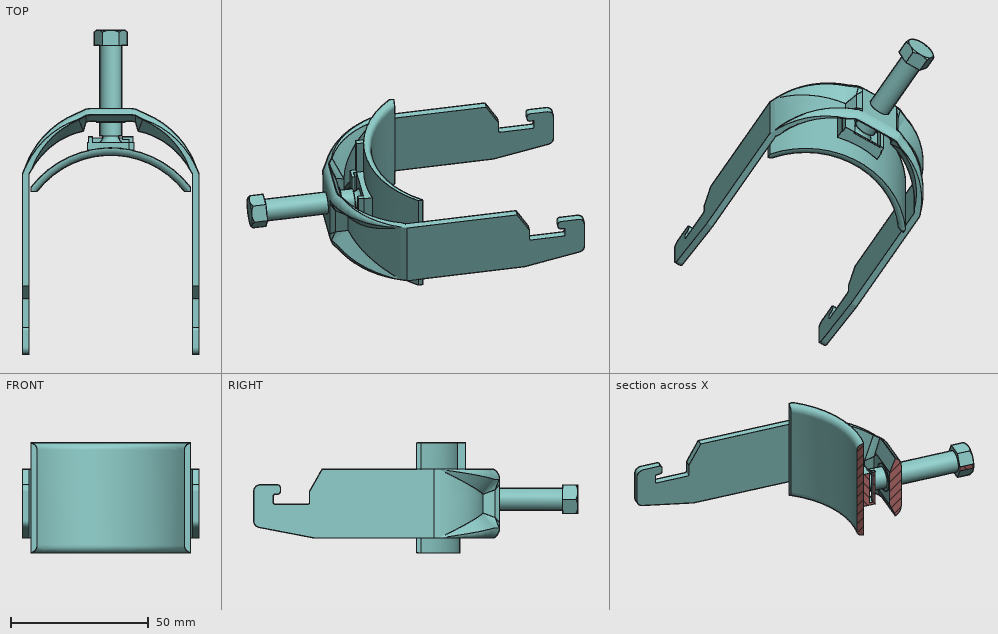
import cadquery as cq
import math


STRAP_THICKNESS = 2.5
STRAP_HALF_WIDTH = 64.0 / 2
STRAP_HEIGHT = 25.0
STRAP_MID_Z = -1.59
HALF_HEIGHT = STRAP_HEIGHT / 2
STRAP_TOP_Z = STRAP_MID_Z + HALF_HEIGHT
STRAP_BOTTOM_Z = STRAP_MID_Z - HALF_HEIGHT
ARCH_RADIUS = 32.9
CROWN_HALF_WIDTH = 7.3
ARCH_CENTER_Y = -32.3
WING_START_ANGLE = 22.4
WING_END_ANGLE = 71.0
WING_SECTIONS = 6
LEG_TOP_Y = -23.7
LEG_END_Y = -89.2
TROUGH_DEPTH = 4.5
TROUGH_FLOOR_HALF = 3.4
FLAT_FLOOR_HALF = 12.2
CROWN_SWELL = 2.2
CROWN_FLOOR_HALF = 7.0
SHOULDER_X = 8.9
SHOULDER_DROP = 0.2
SHOULDER_DEPTH = 1.4
SHOULDER_FLOOR_HALF = 5.0
RIM_DEPTH = 2.2
RIM_HEIGHT = 3.8
FADED_RIM = 0.1
CROWN_BOSS_DIAMETER = 10.5
CROWN_BOSS_HEIGHT = 0.4

TOP_BEVEL_START_Y = -64.4
NOTCH_START_Y = -69.0
NOTCH_END_Y = -82.0
LIP_END_Y = -79.4
BOTTOM_BEVEL_START_Y = -67.1
BEVEL_END_Z = 2.8
NOTCH_FLOOR_Z = -1.8
LIP_BOTTOM_Z = 1.8
LIP_TOP_Z = 5.3
LEG_END_BOTTOM_Z = -9.9
NOTCH_FILLET = 0.6
LIP_FILLET = 1.2
LEG_END_FILLET = 2.5

SHANK_DIAMETER = 8.0
HEAD_TOP_Y = 28.3
HEAD_HEIGHT = 5.5
HEAD_BOTTOM_Y = HEAD_TOP_Y - HEAD_HEIGHT
HEAD_CORNER_DIAMETER = 12.0
HEAD_CHAMFER_DIAMETER = 10.5
HEAD_CHAMFER_HEIGHT = 0.7
SHANK_END_Y = -10.0
NECK_DIAMETER = 5.8
TIP_DIAMETER = 8.0
TIP_END_Y = -12.3

SHOE_THICKNESS = 2.7
SHOE_HEIGHT = 40.1
SHOE_MID_Z = 0.53
SHOE_HALF_WIDTH = 28.9
SHOE_RADIUS = 36.4
SHOE_APEX_Y = -14.3
SHOE_TIP_Y = -30.2
SHOE_EDGE_FILLET = 2.6
SHOE_TOP_Z = SHOE_MID_Z + SHOE_HEIGHT / 2
SHOE_BOTTOM_Z = SHOE_MID_Z - SHOE_HEIGHT / 2
SHOE_CENTER_Y = SHOE_APEX_Y - SHOE_RADIUS

RETAINER_HALF_WIDTH = 8.5
RETAINER_BOTTOM_Z = -7.0
CHEEK_OUTER_X = 8.1
CHEEK_INNER_X = 6.7
CHEEK_TOP_Y = -10.2
RETAINER_TOP_Z = 7.0
STOP_TOP_Y = -10.7
STOP_THICKNESS = 1.2
LIP_INNER_X = 4.2
LIP_UNDERSIDE_Y = -11.3


def blend(start, end, fraction):
    return start + fraction * (end - start)


def arch_y(angle):
    """Y of the outer arch at an angle from the bolt axis."""
    return ARCH_CENTER_Y + ARCH_RADIUS * math.cos(math.radians(angle))


WING_START_Y = arch_y(WING_START_ANGLE)
WING_END_Y = arch_y(WING_END_ANGLE)


def box_between(x_range, y_range, z_range):
    """Axis-aligned box given by its limits."""
    sizes = [high - low for low, high in (x_range, y_range, z_range)]
    corner = (x_range[0], y_range[0], z_range[0])
    return cq.Workplane("XY").box(*sizes, centered=False).translate(corner)


def strap_section(outer_x, outer_y, angle, floor_half, outer_depth, inner_depth, rim_depth, rim_height):
    """Closed cross-section of the strap, standing on the normal at one outer point."""
    normal_x = math.sin(math.radians(angle))
    normal_y = math.cos(math.radians(angle))

    def at(depth, height):
        return cq.Vector(outer_x - depth * normal_x, outer_y - depth * normal_y, STRAP_MID_Z + height)

    rim_radius = (rim_height**2 + rim_depth**2) / (2 * rim_depth)
    bow_depth = rim_radius - math.sqrt(rim_radius**2 - (rim_height / 2)**2)
    bow = HALF_HEIGHT - rim_height / 2
    crest = HALF_HEIGHT - rim_height
    lower_rim = cq.Edge.makeThreePointArc(at(rim_depth, -HALF_HEIGHT), at(bow_depth, -bow), at(0, -crest))
    upper_rim = cq.Edge.makeThreePointArc(at(0, crest), at(bow_depth, bow), at(rim_depth, HALF_HEIGHT))
    outer_path = [at(0, -crest), at(outer_depth, -floor_half), at(outer_depth, floor_half), at(0, crest)]
    inner_path = [
        at(rim_depth, HALF_HEIGHT),
        at(STRAP_THICKNESS, HALF_HEIGHT),
        at(STRAP_THICKNESS + inner_depth, floor_half),
        at(STRAP_THICKNESS + inner_depth, -floor_half),
        at(STRAP_THICKNESS, -HALF_HEIGHT),
        at(rim_depth, -HALF_HEIGHT),
    ]
    outer_edges = [cq.Edge.makeLine(a, b) for a, b in zip(outer_path, outer_path[1:])]
    inner_edges = [cq.Edge.makeLine(a, b) for a, b in zip(inner_path, inner_path[1:])]
    return cq.Wire.assembleEdges([lower_rim, *outer_edges, upper_rim, *inner_edges])


def wing_section(fade):
    """Section of the wing; fade runs from 0 at the deep end to 1 at the leg."""
    angle = blend(WING_START_ANGLE, WING_END_ANGLE, fade)
    outer_x = ARCH_RADIUS * math.sin(math.radians(angle))
    outer_y = arch_y(angle)
    floor_fade = (outer_y - WING_START_Y) / (WING_END_Y - WING_START_Y)
    floor_half = blend(TROUGH_FLOOR_HALF, FLAT_FLOOR_HALF, floor_fade)
    depth = blend(TROUGH_DEPTH, 0, fade)
    rim_depth = blend(RIM_DEPTH, FADED_RIM, fade)
    rim_height = blend(RIM_HEIGHT, FADED_RIM, fade)
    return strap_section(outer_x, outer_y, angle, floor_half, depth, depth, rim_depth, rim_height)


def crown_section(x):
    return strap_section(x, 0, 0, CROWN_FLOOR_HALF, 0, CROWN_SWELL, RIM_DEPTH, RIM_HEIGHT)


def make_leg():
    """Straight leg with its hooked end, on the +X side."""
    outline = (
        cq.Workplane("YZ", origin=(STRAP_HALF_WIDTH - STRAP_THICKNESS, 0, 0))
        .moveTo(LEG_TOP_Y, STRAP_TOP_Z)
        .lineTo(TOP_BEVEL_START_Y, STRAP_TOP_Z)
        .lineTo(NOTCH_START_Y, BEVEL_END_Z)
        .lineTo(NOTCH_START_Y, NOTCH_FLOOR_Z)
        .lineTo(NOTCH_END_Y, NOTCH_FLOOR_Z)
        .lineTo(NOTCH_END_Y, LIP_BOTTOM_Z)
        .lineTo(LIP_END_Y, LIP_BOTTOM_Z)
        .lineTo(LIP_END_Y, LIP_TOP_Z)
        .lineTo(LEG_END_Y, LIP_TOP_Z)
        .lineTo(LEG_END_Y, LEG_END_BOTTOM_Z)
        .lineTo(BOTTOM_BEVEL_START_Y, STRAP_BOTTOM_Z)
        .lineTo(LEG_TOP_Y, STRAP_BOTTOM_Z)
        .close()
    )
    leg = outline.extrude(STRAP_THICKNESS)

    def round_corners(body, corners, radius):
        for y, z in corners:
            near = cq.selectors.NearestToPointSelector((STRAP_HALF_WIDTH - STRAP_THICKNESS / 2, y, z))
            body = body.edges("|X").edges(near).fillet(radius)
        return body

    leg = round_corners(leg, [(NOTCH_START_Y, NOTCH_FLOOR_Z), (NOTCH_END_Y, NOTCH_FLOOR_Z),
                              (NOTCH_END_Y, LIP_BOTTOM_Z)], NOTCH_FILLET)
    leg = round_corners(leg, [(LIP_END_Y, LIP_BOTTOM_Z), (LIP_END_Y, LIP_TOP_Z)], LIP_FILLET)
    return round_corners(leg, [(LEG_END_Y, LIP_TOP_Z), (LEG_END_Y, LEG_END_BOTTOM_Z)], LEG_END_FILLET)


def make_strap_side():
    """Everything of the strap on the +X side of the crown."""
    wing = cq.Solid.makeLoft([wing_section(i / (WING_SECTIONS - 1)) for i in range(WING_SECTIONS)])
    shoulder = strap_section(SHOULDER_X, -SHOULDER_DROP, 0, SHOULDER_FLOOR_HALF,
                             SHOULDER_DEPTH, CROWN_SWELL, RIM_DEPTH, RIM_HEIGHT)
    step = cq.Solid.makeLoft([crown_section(CROWN_HALF_WIDTH), shoulder, wing_section(0)], True)
    leg_joint = strap_section(
        STRAP_HALF_WIDTH, LEG_TOP_Y, 90, FLAT_FLOOR_HALF, 0, 0, FADED_RIM, FADED_RIM)
    bend = cq.Solid.makeLoft([wing_section(1), leg_joint], True)
    return make_leg().union(cq.Workplane(bend)).union(cq.Workplane(wing)).union(cq.Workplane(step))


def make_strap():
    crown = cq.Workplane(
        cq.Solid.makeLoft([crown_section(-CROWN_HALF_WIDTH), crown_section(CROWN_HALF_WIDTH)], True))
    boss = (
        cq.Workplane("XZ")
        .circle(CROWN_BOSS_DIAMETER / 2)
        .extrude(STRAP_THICKNESS + CROWN_SWELL + CROWN_BOSS_HEIGHT)
    )
    side = make_strap_side()
    bolt_hole = cq.Workplane("XZ").circle(SHANK_DIAMETER / 2).extrude(-SHANK_END_Y)
    return crown.union(boss).union(side).union(side.mirror("YZ")).cut(bolt_hole)


def make_bolt():
    head = (
        cq.Workplane("XZ", origin=(0, HEAD_TOP_Y, 0))
        .polygon(6, HEAD_CORNER_DIAMETER)
        .extrude(HEAD_HEIGHT)
    )
    corner_radius = HEAD_CORNER_DIAMETER / 2
    head_envelope = (
        cq.Workplane("XY")
        .polyline([
            (0, HEAD_BOTTOM_Y),
            (corner_radius, HEAD_BOTTOM_Y),
            (corner_radius, HEAD_TOP_Y - HEAD_CHAMFER_HEIGHT),
            (HEAD_CHAMFER_DIAMETER / 2, HEAD_TOP_Y),
            (0, HEAD_TOP_Y),
        ])
        .close()
        .revolve(360, (0, 0, 0), (0, 1, 0))
    )
    flare_width = (TIP_DIAMETER - NECK_DIAMETER) / 2
    flare_length = SHANK_END_Y - TIP_END_Y
    flare_radius = (flare_length**2 + flare_width**2) / (2 * flare_width)
    middle_offset = flare_radius - math.sqrt(flare_radius**2 - (flare_length / 2)**2)
    flare_middle = (NECK_DIAMETER / 2 + middle_offset, SHANK_END_Y - flare_length / 2)
    shank = (
        cq.Workplane("XY")
        .polyline([
            (0, HEAD_BOTTOM_Y),
            (SHANK_DIAMETER / 2, HEAD_BOTTOM_Y),
            (SHANK_DIAMETER / 2, SHANK_END_Y),
            (NECK_DIAMETER / 2, SHANK_END_Y),
        ])
        .threePointArc(flare_middle, (TIP_DIAMETER / 2, TIP_END_Y))
        .lineTo(0, TIP_END_Y)
        .close()
        .revolve(360, (0, 0, 0), (0, 1, 0))
    )
    return head.intersect(head_envelope).union(shank)


def shoe_cylinder(radius):
    """Cylinder about the axis of curvature of the shoe, as tall as the shoe."""
    return (
        cq.Workplane("XY", origin=(0, SHOE_CENTER_Y, SHOE_BOTTOM_Z))
        .circle(radius)
        .extrude(SHOE_HEIGHT)
    )


def make_shoe():
    inner_radius = SHOE_RADIUS - SHOE_THICKNESS
    ring = shoe_cylinder(SHOE_RADIUS).cut(shoe_cylinder(inner_radius))
    ring = ring.edges(cq.selectors.RadiusNthSelector(0)).fillet(SHOE_EDGE_FILLET)
    window = box_between(
        (-SHOE_HALF_WIDTH, SHOE_HALF_WIDTH), (SHOE_TIP_Y, SHOE_APEX_Y), (SHOE_BOTTOM_Z, SHOE_TOP_Z))
    return ring.intersect(window)


def make_retainer():
    """Channel on the back of the shoe that holds the bolt tip."""
    seat_y = SHOE_CENTER_Y + math.sqrt(SHOE_RADIUS**2 - RETAINER_HALF_WIDTH**2)
    cheek_z = (RETAINER_BOTTOM_Z, RETAINER_TOP_Z)
    floor = box_between((-RETAINER_HALF_WIDTH, RETAINER_HALF_WIDTH), (seat_y, TIP_END_Y), cheek_z)
    guide = box_between((CHEEK_INNER_X, RETAINER_HALF_WIDTH), (seat_y, TIP_END_Y),
                        (RETAINER_BOTTOM_Z, SHOE_TOP_Z))
    left_cheek = box_between((-CHEEK_OUTER_X, -CHEEK_INNER_X), (TIP_END_Y, CHEEK_TOP_Y), cheek_z)
    right_cheek = left_cheek.mirror("YZ")
    lip = box_between((LIP_INNER_X, CHEEK_OUTER_X), (LIP_UNDERSIDE_Y, CHEEK_TOP_Y), cheek_z)
    stop = box_between((-CHEEK_INNER_X, CHEEK_INNER_X), (TIP_END_Y, STOP_TOP_Y),
                       (RETAINER_BOTTOM_Z, RETAINER_BOTTOM_Z + STOP_THICKNESS))
    retainer = floor.union(guide).union(left_cheek).union(right_cheek).union(lip).union(stop)
    return retainer.cut(shoe_cylinder(SHOE_RADIUS))


strap = make_strap()
bolt = make_bolt()
shoe = make_shoe()
retainer = make_retainer()

bodies = [strap, bolt, shoe, retainer]
result = cq.Compound.makeCompound([body.solids().val() for body in bodies])